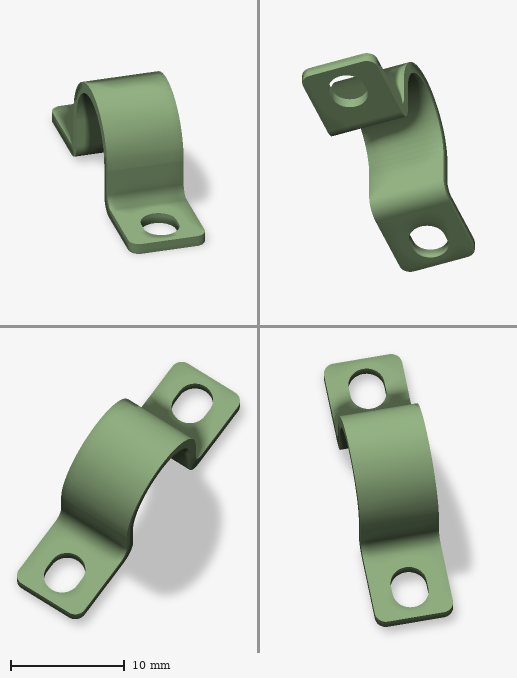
import cadquery as cq

length = 26.0
width = 7.0
height = 9.8
thickness = 1.0

arch_radius = 5.4
upper_bend_radius = 1.0
lower_bend_radius = 1.5

corner_radius = 1.0
slot_length = 4.0
slot_width = 3.2
slot_spacing = 20.0

bore_radius = arch_radius - thickness
arch_center_z = height - arch_radius
half_length = length / 2


def make_strap():
    """Bent strip with a half-round arch, centred on X and Y and resting on Z = 0."""
    profile = (
        cq.Workplane("XZ")
        .moveTo(-half_length, 0)
        .lineTo(-bore_radius, 0)
        .lineTo(-bore_radius, arch_center_z)
        .threePointArc((0, arch_center_z + bore_radius), (bore_radius, arch_center_z))
        .lineTo(bore_radius, 0)
        .lineTo(half_length, 0)
        .lineTo(half_length, thickness)
        .lineTo(arch_radius, thickness)
        .lineTo(arch_radius, arch_center_z)
        .threePointArc((0, height), (-arch_radius, arch_center_z))
        .lineTo(-arch_radius, thickness)
        .lineTo(-half_length, thickness)
        .close()
    )
    return profile.extrude(width / 2, both=True)


def round_bend(strap, x, z, radius):
    """Round the edge along Y that passes through (x, z)."""
    return strap.edges(cq.selectors.NearestToPointSelector((x, 0, z))).fillet(radius)


def make_slots():
    """Mounting slots, one through each foot and long along X."""
    return (
        cq.Workplane("XY")
        .pushPoints([(-slot_spacing / 2, 0), (slot_spacing / 2, 0)])
        .slot2D(slot_length, slot_width)
        .extrude(thickness)
    )


strap = make_strap()
for side in (-1, 1):
    strap = round_bend(strap, side * arch_radius, thickness, upper_bend_radius)
    strap = round_bend(strap, side * bore_radius, 0, lower_bend_radius)

strap = strap.edges("|Z").edges("<X or >X").fillet(corner_radius)

result = strap.cut(make_slots())